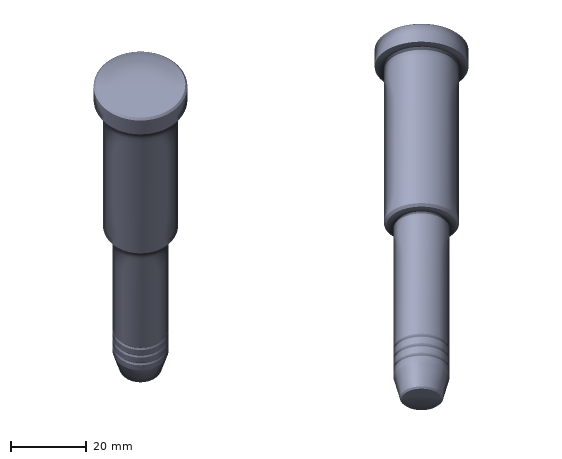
import cadquery as cq

total_length = 111.0
head_thickness = 6.0
shoulder_z = 55.0
taper_height = 7.0

head_radius = 25.0 / 2
body_radius = 10.0
pin_radius = 7.49
tip_radius = 5.8

edge_chamfer = 0.5
tip_chamfer = 0.4
shoulder_chamfer = 0.7
relief_width = 1.0
body_relief_depth = 0.4
pin_relief_depth = 0.5

ring_count = 3
ring_width = 1.0
ring_pitch = 3.0
ring_depth = 0.3
first_ring_z = 9.0

head_z = total_length - head_thickness


def cylinder(radius, bottom, top):
    return cq.Workplane("XY").workplane(offset=bottom).circle(radius).extrude(top - bottom)


def groove(shaft_radius, depth, bottom, width):
    """Square-sided ring of material to remove from a shaft of the given radius."""
    inner = shaft_radius - depth
    return cq.Workplane("XY").workplane(offset=bottom).circle(shaft_radius).circle(inner).extrude(width)


def v_groove(shaft_radius, depth, bottom, width):
    """Ring with a V section, deepest halfway up its width."""
    section = [
        (shaft_radius, bottom),
        (shaft_radius - depth, bottom + width / 2),
        (shaft_radius, bottom + width),
    ]
    return cq.Workplane("XZ").polyline(section).close().revolve(360, (0, 0), (0, 1))


def tapered_pin():
    """Pin profile with a conical lead-in and a broken tip edge, revolved about Z."""
    profile = [
        (0, 0),
        (tip_radius - tip_chamfer, 0),
        (tip_radius, tip_chamfer),
        (pin_radius, taper_height),
        (pin_radius, shoulder_z),
        (0, shoulder_z),
    ]
    return cq.Workplane("XZ").polyline(profile).close().revolve(360, (0, 0), (0, 1))


pin = tapered_pin().cut(groove(pin_radius, pin_relief_depth, shoulder_z - relief_width, relief_width))
for index in range(ring_count):
    pin = pin.cut(v_groove(pin_radius, ring_depth, first_ring_z + index * ring_pitch, ring_width))

body = cylinder(body_radius, shoulder_z, head_z).faces("<Z").chamfer(shoulder_chamfer)
body = body.cut(v_groove(body_radius, body_relief_depth, head_z - relief_width, relief_width))

head = cylinder(head_radius, head_z, total_length).faces(">Z").chamfer(edge_chamfer)

result = pin.union(body).union(head)